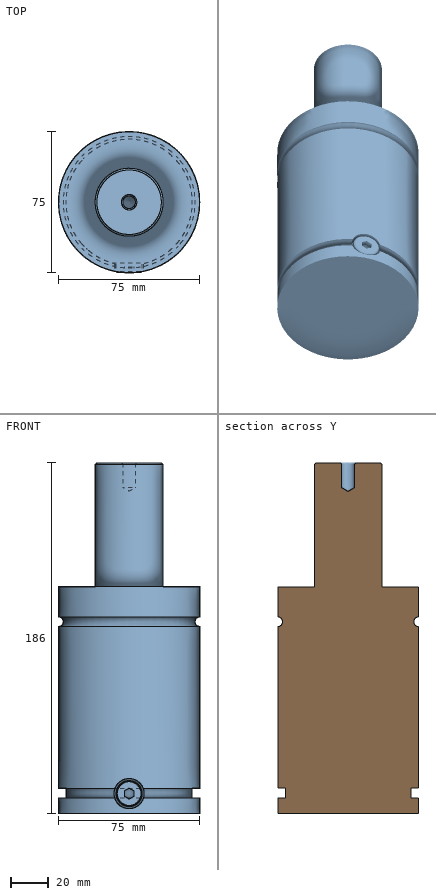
import cadquery as cq
import math

total_height = 186.0
body_radius = 37.48
body_height = 120.3
rod_radius = 18.0
rod_edge_chamfer = 1.0

clamp_groove_z = 101.7
clamp_groove_radius = 2.51

base_groove_bottom = 8.4
base_groove_top = 13.4
base_groove_floor_radius = 33.5

rod_hole_radius = 3.3
rod_hole_depth = 13.0
rod_hole_chamfer = 0.7
drill_tip_angle = 118.0

port_z = 10.6
port_radius = 8.0
port_floor_y = -32.4
plug_radius = 6.9
plug_chamfer = 0.5
plug_face_y = -37.2
hex_across_flats = 5.0
hex_depth = 2.8


def make_body():
    """Revolve the cylinder with its two ring grooves."""
    return (
        cq.Workplane("XZ")
        .lineTo(body_radius, 0)
        .lineTo(body_radius, base_groove_bottom)
        .lineTo(base_groove_floor_radius, base_groove_bottom)
        .lineTo(base_groove_floor_radius, base_groove_top)
        .lineTo(body_radius, base_groove_top)
        .lineTo(body_radius, clamp_groove_z - clamp_groove_radius)
        .threePointArc(
            (body_radius - clamp_groove_radius, clamp_groove_z),
            (body_radius, clamp_groove_z + clamp_groove_radius),
        )
        .lineTo(body_radius, body_height)
        .lineTo(0, body_height)
        .close()
        .revolve(360, (0, 0, 0), (0, 1, 0))
    )


def make_rod():
    """Piston rod with a chamfered end, standing on the body."""
    rod = cq.Workplane("XY").workplane(offset=body_height).circle(rod_radius)
    return rod.extrude(total_height - body_height).faces(">Z").edges().chamfer(rod_edge_chamfer)


def make_rod_hole():
    """Chamfered blind hole with a conical drill tip."""
    hole_bottom = total_height - rod_hole_depth
    tip_length = rod_hole_radius / math.tan(math.radians(drill_tip_angle / 2))
    return (
        cq.Workplane("XZ")
        .moveTo(0, hole_bottom - tip_length)
        .lineTo(rod_hole_radius, hole_bottom)
        .lineTo(rod_hole_radius, total_height - rod_hole_chamfer)
        .lineTo(rod_hole_radius + rod_hole_chamfer, total_height)
        .lineTo(0, total_height)
        .close()
        .revolve(360, (0, 0, 0), (0, 1, 0))
    )


def port_plane(y):
    """Plane facing -Y, centred on the filling port."""
    return cq.Workplane("XZ", origin=(0, y, port_z))


def add_filling_port(part):
    """Sink the round port and seat a hex-socket plug in it."""
    recess = port_plane(port_floor_y).circle(port_radius).extrude(body_radius + port_floor_y)
    plug = port_plane(port_floor_y).circle(plug_radius).extrude(port_floor_y - plug_face_y)
    plug = plug.faces("<Y").edges().chamfer(plug_chamfer)
    hex_diameter = hex_across_flats / math.cos(math.radians(30))
    socket = (
        port_plane(plug_face_y)
        .transformed(rotate=(0, 0, 90))
        .polygon(6, hex_diameter)
        .extrude(-hex_depth)
    )
    return part.cut(recess).union(plug).cut(socket)


spring = make_body().union(make_rod()).cut(make_rod_hole())
result = add_filling_port(spring)